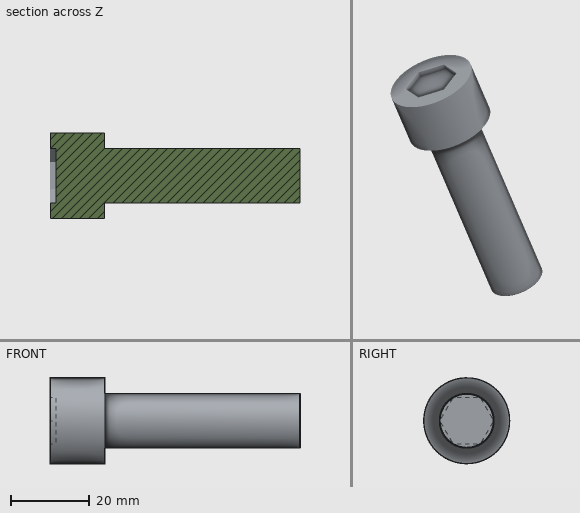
import cadquery as cq
import math

total_length = 64.0
head_diameter = 22.0
head_length = 14.0
shank_diameter = 14.0
tip_chamfer = 0.225
socket_across_flats = 12.0
socket_depth = 1.5

head_face_x = -total_length / 2


def make_cylinder(diameter, length):
    """Cylinder along +X starting at the outer head face."""
    face = cq.Workplane("YZ", origin=(head_face_x, 0, 0))
    return face.circle(diameter / 2).extrude(length)


def make_socket():
    """Hexagonal recess with two corners pointing along Y."""
    across_corners = socket_across_flats / math.cos(math.pi / 6)
    face = cq.Workplane("YZ", origin=(head_face_x, 0, 0))
    return face.polygon(6, across_corners).extrude(socket_depth)


head = make_cylinder(head_diameter, head_length)
shank = make_cylinder(shank_diameter, total_length).faces(">X").chamfer(tip_chamfer)

result = head.union(shank).cut(make_socket())